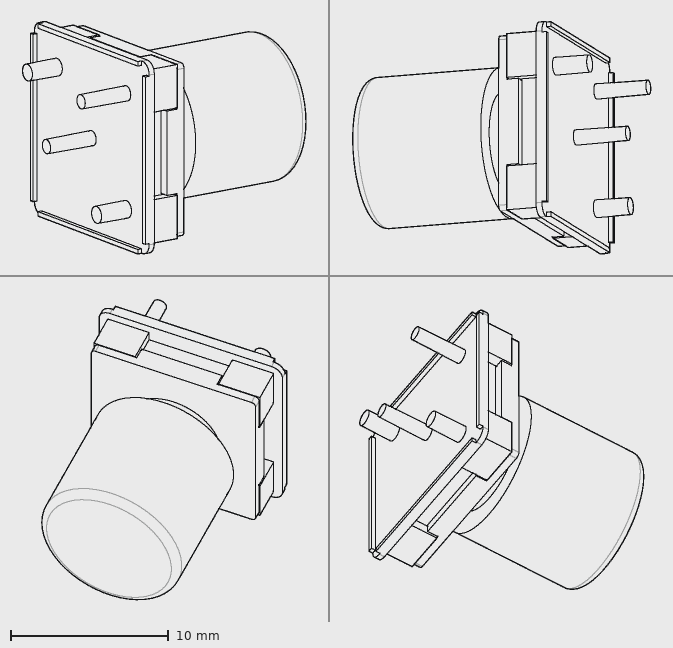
import cadquery as cq


plate_side = 12.65
plate_thickness = 0.4
plate_corner_radius = 0.75
rim_length = 11.0
rim_width = 0.3
rim_height = 0.3

housing_side = 11.45
housing_height = 2.2
recess_width = 5.75
recess_depth = 0.7

cover_side = 11.35
cover_top = 2.75
cover_corner_radius = 0.3
tab_width = 5.55
tab_end = 1.42

neck_diameter = 6.5
knob_diameter = 9.62
knob_bottom = 4.27
knob_top = 13.05
knob_edge_radius = 0.5

pin_offset = 3.81
thick_pin_diameter = 1.14
thick_pin_length = 2.3
thin_pin_diameter = 0.98
thin_pin_length = 3.5
pin_draft_angle = 0.5


def slab(width, depth, y_start, y_end):
    """Rectangular block, width along X and depth along Z, between two Y levels."""
    height = y_end - y_start
    return cq.Workplane("XY").box(width, height, depth).translate((0, y_start + height / 2, 0))


def cylinder(diameter, y_start, y_end):
    """Cylinder about the Y axis between two Y levels."""
    workplane = cq.Workplane("XZ", origin=(0, y_start, 0))
    return workplane.circle(diameter / 2).extrude(y_start - y_end)


def around_sides(block):
    """Four copies of a block, one for each side of the square."""
    return [block.rotate((0, 0, 0), (0, 1, 0), quarter * 90) for quarter in range(4)]


def make_plate():
    plate = slab(plate_side, plate_side, -plate_thickness, 0)
    plate = plate.edges("|Y").fillet(plate_corner_radius)
    rim = slab(rim_length, rim_width, -plate_thickness - rim_height, 0)
    rim = rim.translate((0, 0, (plate_side - rim_width) / 2))
    for side_rim in around_sides(rim):
        plate = plate.union(side_rim)
    return plate


def make_housing():
    housing = slab(housing_side, housing_side, 0, housing_height)
    recess = slab(recess_width, recess_depth, 0, housing_height)
    recess = recess.translate((0, 0, (housing_side - recess_depth) / 2))
    for side_recess in around_sides(recess):
        housing = housing.cut(side_recess)
    return housing


def make_cover():
    cover = slab(cover_side, cover_side, housing_height, cover_top)
    cover = cover.edges("|Y").fillet(cover_corner_radius)
    tab_depth = recess_depth - (housing_side - cover_side) / 2
    tab = slab(tab_width, tab_depth, tab_end, cover_top)
    tab = tab.translate((0, 0, (cover_side - tab_depth) / 2))
    for side_tab in around_sides(tab):
        cover = cover.union(side_tab)
    return cover


def make_knob():
    knob = cylinder(knob_diameter, knob_bottom, knob_top)
    knob = knob.faces(">Y").edges().fillet(knob_edge_radius)
    return cylinder(neck_diameter, cover_top, knob_bottom).union(knob)


def make_pin(x, z, diameter, length):
    workplane = cq.Workplane("XZ", origin=(x, -plate_thickness, z))
    return workplane.circle(diameter / 2).extrude(length, taper=pin_draft_angle)


pins = [
    make_pin(-pin_offset, pin_offset, thick_pin_diameter, thick_pin_length),
    make_pin(pin_offset, -pin_offset, thick_pin_diameter, thick_pin_length),
    make_pin(pin_offset, pin_offset, thin_pin_diameter, thin_pin_length),
    make_pin(0, 0, thin_pin_diameter, thin_pin_length),
]

result = make_plate().union(make_housing()).union(make_cover()).union(make_knob())
for pin in pins:
    result = result.union(pin)